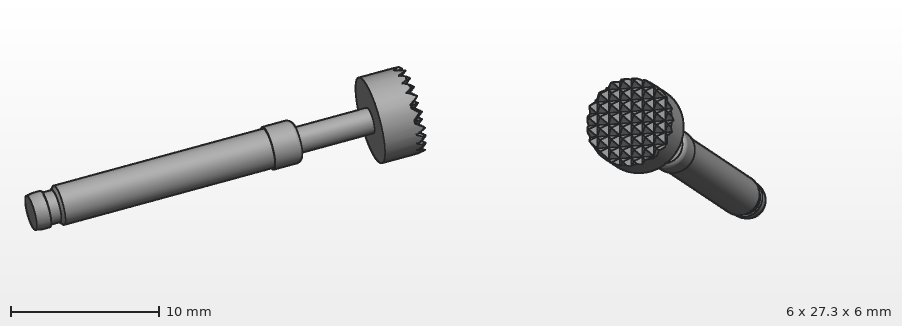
import cadquery as cq
import math

overall_length = 27.3
head_radius = 3.0
head_length = 3.0
plunger_radius = 0.9
collar_radius = 1.5
collar_length = 2.02
collar_round_height = 0.4
collar_end_radius = 1.25
barrel_diameter = 2.75
barrel_radius = barrel_diameter / 2
barrel_chamfer = 0.22
neck_diameter = 2.27
neck_radius = neck_diameter / 2
neck_length = 0.76
tail_radius = 1.28
tail_length = 1.0
tail_straight = 0.4
tail_end_radius = 1.2
plunger_length = 5.3

teeth_across = 8
outer_tip_spacing = 5.6
groove_pitch = outer_tip_spacing / (teeth_across - 1)
groove_angle = 60.0
groove_depth = groove_pitch / 2 / math.tan(math.radians(groove_angle / 2))

barrel_start = tail_length + neck_length
head_start = overall_length - head_length
collar_end = head_start - plunger_length
collar_start = collar_end - collar_length
collar_tangent = collar_end - collar_round_height
tail_tangent = tail_length - tail_straight


def rounded_side_middle(side_radius, end_radius, tangent_y, end_y):
    """Middle point of an arc that leaves a straight side at tangent_y and curves in to end_radius at end_y."""
    height = end_y - tangent_y
    inset = side_radius - end_radius
    arc_radius = (height**2 + inset**2) / (2 * inset)
    half_height = height / 2
    half_height_inset = arc_radius - math.sqrt(arc_radius**2 - half_height**2)
    return (side_radius - half_height_inset, tangent_y + half_height)


def make_turned_body():
    """Tail, neck, barrel, collar, plunger and plain head as one revolved outline."""
    tail_middle = rounded_side_middle(tail_radius, tail_end_radius, tail_tangent, 0)
    collar_middle = rounded_side_middle(collar_radius, collar_end_radius, collar_tangent, collar_end)
    outline = (
        cq.Workplane("XY")
        .lineTo(tail_end_radius, 0)
        .threePointArc(tail_middle, (tail_radius, tail_tangent))
        .lineTo(tail_radius, tail_length)
        .lineTo(neck_radius, tail_length)
        .lineTo(neck_radius, barrel_start)
        .lineTo(barrel_radius - barrel_chamfer, barrel_start)
        .lineTo(barrel_radius, barrel_start + barrel_chamfer)
        .lineTo(barrel_radius, collar_start)
        .lineTo(collar_radius, collar_start)
        .lineTo(collar_radius, collar_tangent)
        .threePointArc(collar_middle, (collar_end_radius, collar_end))
        .lineTo(plunger_radius, collar_end)
        .lineTo(plunger_radius, head_start)
        .lineTo(head_radius, head_start)
        .lineTo(head_radius, overall_length)
        .lineTo(0, overall_length)
        .close()
    )
    return outline.revolve(360, (0, 0, 0), (0, 1, 0))


def make_grooves():
    """Parallel V grooves running along Z across the crown, one of them through the axis."""
    grooves_per_side = teeth_across // 2
    crown_edge = (grooves_per_side + 0.5) * groove_pitch
    points = [(-crown_edge, overall_length)]
    for index in range(-grooves_per_side, grooves_per_side + 1):
        valley_x = index * groove_pitch
        points.append((valley_x, overall_length - groove_depth))
        points.append((valley_x + groove_pitch / 2, overall_length))
    points.append((crown_edge, overall_length + head_length))
    points.append((-crown_edge, overall_length + head_length))
    return cq.Workplane("XY").polyline(points).close().extrude(2 * head_radius, both=True)


grooves = make_grooves()
crossed_grooves = grooves.rotate((0, 0, 0), (0, 1, 0), 90)

result = make_turned_body().cut(grooves).cut(crossed_grooves)